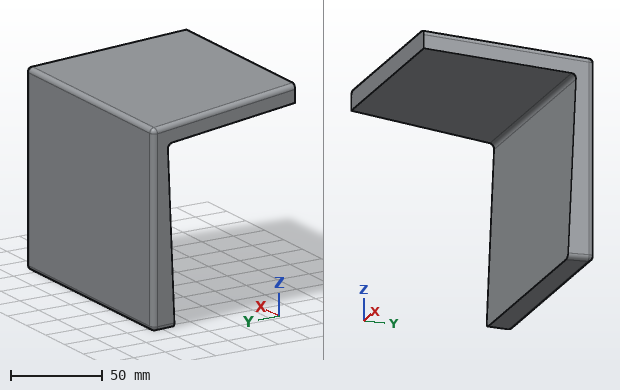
import cadquery as cq
import math

width = 133.4
depth = 96.0
height = 124.4

shelf_edge_height = 11.0
plate_bottom_thickness = 15.0
outer_radius = 3.0
inner_radius = 3.0

taper_angle = math.radians(5)
taper_slope = math.tan(taper_angle)
plate_slope = math.tan(math.radians(2.5))

corner_loss = outer_radius * (taper_slope + 1 / math.cos(taper_angle) - 1)
rear_half_width = width / 2 + corner_loss
front_half_width = rear_half_width - depth * taper_slope

shelf_underside_at_rear = height - shelf_edge_height - depth * taper_slope
inner_depth = (plate_bottom_thickness - plate_slope * shelf_underside_at_rear) / (1 + plate_slope * taper_slope)
inner_height = shelf_underside_at_rear + inner_depth * taper_slope


def make_bracket_profile():
    """Extrude the L-shaped side profile across more than the full width."""
    profile = (
        cq.Workplane("YZ")
        .polyline([
            (0, 0),
            (0, height - depth * taper_slope),
            (-depth, height),
            (-depth, height - shelf_edge_height),
            (-inner_depth, inner_height),
            (-plate_bottom_thickness, 0),
        ])
        .close()
        .extrude(width, both=True)
    )
    inner_edge = cq.selectors.NearestToPointSelector((0, -inner_depth, inner_height))
    return profile.edges(inner_edge).fillet(inner_radius)


def make_rounded_envelope():
    """Make the tapered outer block, rounded all around except at its front face."""
    block = (
        cq.Workplane("XY")
        .polyline([
            (-rear_half_width, 0),
            (rear_half_width, 0),
            (front_half_width, -depth),
            (-front_half_width, -depth),
        ])
        .close()
        .extrude(height)
    )
    above_slope = (
        cq.Workplane("YZ")
        .polyline([(0, height - depth * taper_slope), (-depth, height), (0, height)])
        .close()
        .extrude(width, both=True)
    )
    return block.cut(above_slope).edges("not(<Y)").fillet(outer_radius)


result = make_bracket_profile().intersect(make_rounded_envelope())